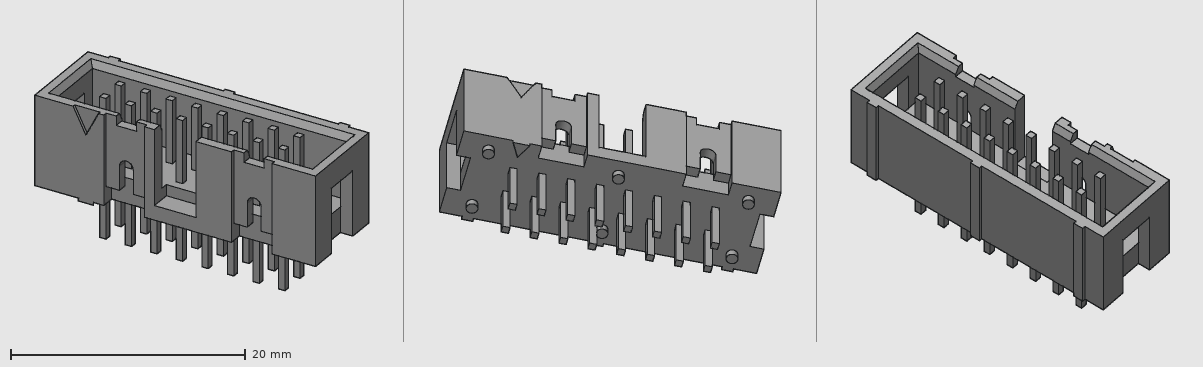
import cadquery as cq


length = 27.9
depth = 8.9
height = 8.85
floor_height = 2.5
end_wall = 1.23
side_wall = 1.3
rim_chamfer_width = 0.4
rim_chamfer_height = 0.67

pitch = 2.55
pins_per_row = 8
pin_size = 0.65
pin_top_gap = 0.17
pin_tail = 5.08

window_width = 3.55
window_top = 6.4

key_width = 4.13
key_depth = 2.0
key_bottom = 1.42

recess_centers = (-2 * pitch, 3 * pitch)
recess_width = 4.02
recess_depth = 0.4
recess_step_height = 1.67
notch_width = 2.0
notch_depth = 0.92
arch_width = 1.37
arch_top = 4.72

pin_one_x = -(pins_per_row - 1) / 2 * pitch
marker_width = 2.5
marker_height = 2.45
marker_depth = 0.28
tab_width = 1.5
tab_length = 1.48
tab_height = 0.28

station_spacing = 4.5 * pitch
stations = (-station_spacing, 0, station_spacing)
rib_width = 1.0
rib_depth = 0.3
peg_diameter = 1.0
peg_height = 0.6
peg_row_y = 2.99

front_y = -depth / 2
back_y = depth / 2
cavity_length = length - 2 * end_wall
cavity_depth = depth - 2 * side_wall


def block(x_center, width, y_min, y_max, z_min, z_max):
    """Box centred on x_center, given by its Y and Z limits."""
    return (
        cq.Workplane("XY")
        .box(width, y_max - y_min, z_max - z_min, centered=False)
        .translate((x_center - width / 2, y_min, z_min))
    )


def front_plane():
    return cq.Workplane("XZ", origin=(0, front_y, 0))


def make_shroud():
    """Box with a pin cavity whose rim flares outwards."""
    outer = block(0, length, front_y, back_y, 0, height)
    cavity = block(0, cavity_length, -cavity_depth / 2, cavity_depth / 2, floor_height, height)
    flare = (
        cq.Workplane("XY", origin=(0, 0, height - rim_chamfer_height))
        .rect(cavity_length, cavity_depth)
        .workplane(offset=rim_chamfer_height)
        .rect(cavity_length + 2 * rim_chamfer_width, cavity_depth + 2 * rim_chamfer_width)
        .loft(ruled=True)
    )
    return outer.cut(cavity).cut(flare)


def end_window(side):
    """Opening through one end wall; side is -1 or 1."""
    x_center = side * (length - end_wall) / 2
    return block(x_center, end_wall, -window_width / 2, window_width / 2, 0, window_top)


def recess_cut(x_center):
    """Front recess with a deeper foot, a rim notch and an arched slot."""
    wall_back = front_y + side_wall
    shallow = block(x_center, recess_width, front_y, front_y + recess_depth, 0, height)
    foot = block(x_center, recess_width, front_y, wall_back, 0, recess_step_height)
    notch = block(x_center, notch_width, front_y, wall_back, height - notch_depth, height)
    radius = arch_width / 2
    arch = (
        front_plane()
        .moveTo(x_center - radius, 0)
        .lineTo(x_center - radius, arch_top - radius)
        .threePointArc((x_center, arch_top), (x_center + radius, arch_top - radius))
        .lineTo(x_center + radius, 0)
        .close()
        .extrude(-side_wall)
    )
    return shallow.union(foot).union(notch).union(arch)


def pin_one_marker():
    """Triangle pointing down from the rim above pin 1."""
    return (
        front_plane()
        .moveTo(pin_one_x - marker_width / 2, height)
        .lineTo(pin_one_x + marker_width / 2, height)
        .lineTo(pin_one_x, height - marker_height)
        .close()
        .extrude(-marker_depth)
    )


def pin_one_tab():
    """Triangular tab under the front wall, pointing back towards pin 1."""
    return (
        cq.Workplane("XY", origin=(0, 0, -tab_height))
        .moveTo(pin_one_x - tab_width / 2, front_y)
        .lineTo(pin_one_x + tab_width / 2, front_y)
        .lineTo(pin_one_x, front_y + tab_length)
        .close()
        .extrude(tab_height)
    )


def make_ribs():
    """Full-height ribs on the back face."""
    ribs = cq.Workplane("XY")
    for x_center in stations:
        ribs = ribs.union(block(x_center, rib_width, back_y, back_y + rib_depth, 0, height))
    return ribs


def make_pegs():
    """Two rows of round standoff pegs under the shroud."""
    return (
        cq.Workplane("XY", origin=(0, 0, -peg_height))
        .rarray(station_spacing, 2 * peg_row_y, len(stations), 2)
        .circle(peg_diameter / 2)
        .extrude(peg_height)
    )


def make_pins():
    """Two rows of square pins passing through the floor."""
    return (
        cq.Workplane("XY", origin=(0, 0, -pin_tail))
        .rarray(pitch, pitch, pins_per_row, 2)
        .rect(pin_size, pin_size)
        .extrude(pin_tail + height - pin_top_gap)
    )


result = make_shroud()
for side in (-1, 1):
    result = result.cut(end_window(side))
result = result.cut(block(0, key_width, front_y, front_y + key_depth, key_bottom, height))
for x_center in recess_centers:
    result = result.cut(recess_cut(x_center))
result = result.cut(pin_one_marker())

for added in (pin_one_tab(), make_ribs(), make_pegs(), make_pins()):
    result = result.union(added)